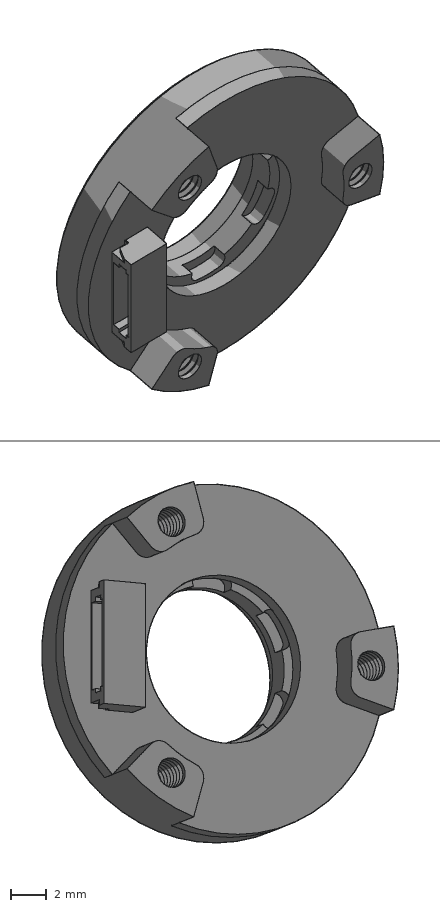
import cadquery as cq
import math


TOTAL_LENGTH = 6.4
FLANGE_FRONT = 1.5
BOARD_FRONT = 3.5
BOARD_THICKNESS = 1.0
BOARD_BACK = BOARD_FRONT + BOARD_THICKNESS

FLANGE_RADIUS = 10.0
FLANGE_CHAMFER = 0.2
BOSS_RADIUS = 6.3
BOSS_CHAMFER = 0.12
FACE_GROOVE_INNER_RADIUS = 6.8
FACE_GROOVE_OUTER_RADIUS = 7.1
FACE_GROOVE_DEPTH = 0.8

MOUTH_RADIUS = 5.0
MOUTH_CHAMFER = 0.1
MOUTH_DEPTH = FLANGE_FRONT
UNDERCUT_RADIUS = 5.1
UNDERCUT_WIDTH = 0.15
BORE_RADIUS = 4.5
POCKET_RADIUS = 5.6
POCKET_DEPTH = 0.5
POCKET_FLOOR = BOARD_FRONT - POCKET_DEPTH
NOTCH_COUNT = 6
NOTCH_DEPTH = 0.88
NOTCH_PITCH = 360.0 / NOTCH_COUNT
NOTCH_SPAN = NOTCH_PITCH / 2
NOTCH_RADIUS = 5.15
NOTCH_CORNER_RADIUS = 0.5

LUG_COUNT = 3
LUG_PITCH = 360.0 / LUG_COUNT
LUG_SPAN = 27.8
LUG_INNER_RADIUS = 7.1
LUG_CORNER_RADIUS = 0.8
HOLE_CIRCLE_RADIUS = 8.3
HOLE_MOUTH_RADIUS = 1.05
THREAD_PITCH = 0.4
THREAD_MINOR_RADIUS = 0.85
THREAD_MAJOR_RADIUS = 1.05

BOARD_BORE_RADIUS = 4.8

CONNECTOR_HEIGHT = 1.7
CONNECTOR_WIDTH = 7.08
CONNECTOR_FRONT_Y = -8.28
CONNECTOR_DEPTH = 2.6
SOCKET_DEPTH = 2.0
SOCKET_FLOOR = 0.15
SOCKET_HEIGHT = 1.28
SOCKET_WIDTH = 5.0
KEYWAY_FLOOR = 0.65
KEYWAY_HEIGHT = 0.62
KEYWAY_WIDTH = 5.48
FOOT_NOTCH_WIDTH = 0.32
FOOT_NOTCH_HEIGHT = 0.28
FOOT_NOTCH_DEPTH = 1.0
FOOT_SLOPE_HEIGHT = 1.1
FOOT_SLOPE_DEPTH = 0.35

TAB_THICKNESS = 0.08


def disc(radius, start, end):
    """Cylinder about the X axis between two axial positions."""
    return cq.Workplane("YZ").workplane(offset=start).circle(radius).extrude(end - start)


def polar(radius, angle):
    """Y and Z of a point; the angle in degrees is counted from +Y towards +Z."""
    return radius * math.cos(math.radians(angle)), radius * math.sin(math.radians(angle))


def ring_sector(inner, outer, span, start, end):
    """Piece of a ring centred on +Y with radial sides."""
    half = span / 2
    return (
        cq.Workplane("YZ")
        .workplane(offset=start)
        .moveTo(*polar(inner, -half))
        .lineTo(*polar(outer, -half))
        .threePointArc(polar(outer, 0), polar(outer, half))
        .lineTo(*polar(inner, half))
        .threePointArc(polar(inner, 0), polar(inner, -half))
        .close()
        .extrude(end - start)
    )


def turned(body, angle):
    """Body turned about the X axis, from +Y towards +Z."""
    return body.rotate((0, 0, 0), (1, 0, 0), angle)


def make_lug(start, end):
    """Lug on +Y between two axial positions, with rounded inner corners."""
    lug = ring_sector(LUG_INNER_RADIUS, FLANGE_RADIUS, LUG_SPAN, start, end)
    inner_limit = cq.selectors.BoxSelector(
        (start - 0.2, 0, -FLANGE_RADIUS), (end + 0.2, LUG_INNER_RADIUS + 0.2, FLANGE_RADIUS)
    )
    return lug.edges("|X").edges(inner_limit).fillet(LUG_CORNER_RADIUS)


def make_threaded_hole():
    """Cutter for one through hole on +Y: a plain core, ring grooves for the thread and a mouth."""
    mouth_depth = HOLE_MOUTH_RADIUS - THREAD_MINOR_RADIUS
    groove_start = FLANGE_FRONT + mouth_depth
    groove_count = math.floor((TOTAL_LENGTH - groove_start) / THREAD_PITCH)
    profile = (
        cq.Workplane("XY")
        .moveTo(FLANGE_FRONT, 0)
        .lineTo(FLANGE_FRONT, HOLE_MOUTH_RADIUS)
        .lineTo(groove_start, THREAD_MINOR_RADIUS)
    )
    for index in range(groove_count):
        crest = groove_start + index * THREAD_PITCH
        profile = profile.lineTo(crest + THREAD_PITCH / 2, THREAD_MAJOR_RADIUS)
        profile = profile.lineTo(crest + THREAD_PITCH, THREAD_MINOR_RADIUS)
    cutter = (
        profile.lineTo(TOTAL_LENGTH, THREAD_MINOR_RADIUS)
        .lineTo(TOTAL_LENGTH, 0)
        .close()
        .revolve(360, (0, 0, 0), (1, 0, 0))
    )
    return cutter.translate((0, HOLE_CIRCLE_RADIUS, 0))


def make_bore_notch():
    """Cutter for one notch on +Y at the back end of the bore, with rounded outer corners."""
    sector = ring_sector(BORE_RADIUS - 0.2, NOTCH_RADIUS, NOTCH_SPAN, POCKET_FLOOR - NOTCH_DEPTH, POCKET_FLOOR)
    outer_limit = cq.selectors.BoxSelector(
        (0, BORE_RADIUS, -FLANGE_RADIUS), (TOTAL_LENGTH, FLANGE_RADIUS, FLANGE_RADIUS)
    )
    return sector.edges("|X").edges(outer_limit).fillet(NOTCH_CORNER_RADIUS)


def make_housing():
    """Flange with a front boss, a stepped bore, three lugs and a threaded hole in each lug."""
    flange = disc(FLANGE_RADIUS, FLANGE_FRONT, BOARD_FRONT).faces("<X").chamfer(FLANGE_CHAMFER)
    boss = disc(BOSS_RADIUS, 0, FLANGE_FRONT).faces("<X or >X").chamfer(BOSS_CHAMFER)
    housing = flange.union(boss)
    for index in range(LUG_COUNT):
        housing = housing.union(turned(make_lug(BOARD_FRONT, TOTAL_LENGTH), index * LUG_PITCH))

    groove_floor = FLANGE_FRONT + FACE_GROOVE_DEPTH
    face_groove = disc(FACE_GROOVE_OUTER_RADIUS, FLANGE_FRONT, groove_floor).cut(
        disc(FACE_GROOVE_INNER_RADIUS, FLANGE_FRONT, groove_floor)
    )
    housing = housing.cut(face_groove)

    housing = housing.cut(disc(BORE_RADIUS, 0, BOARD_FRONT))
    housing = housing.cut(disc(MOUTH_RADIUS, 0, MOUTH_DEPTH))
    housing = housing.cut(disc(UNDERCUT_RADIUS, MOUTH_DEPTH - UNDERCUT_WIDTH, MOUTH_DEPTH))
    housing = housing.cut(disc(POCKET_RADIUS, POCKET_FLOOR, BOARD_FRONT))
    mouth_chamfer = cq.Workplane("XY").add(
        cq.Solid.makeCone(
            MOUTH_RADIUS + MOUTH_CHAMFER, MOUTH_RADIUS, MOUTH_CHAMFER, cq.Vector(), cq.Vector(1, 0, 0)
        )
    )
    housing = housing.cut(mouth_chamfer)
    for index in range(NOTCH_COUNT):
        housing = housing.cut(turned(make_bore_notch(), (index + 0.5) * NOTCH_PITCH))
    for index in range(LUG_COUNT):
        housing = housing.cut(turned(make_threaded_hole(), index * LUG_PITCH))
    return housing


def make_board():
    """Ring-shaped circuit board, cut out where the lugs pass through it."""
    board = disc(FLANGE_RADIUS, BOARD_FRONT, BOARD_BACK)
    board = board.cut(disc(BOARD_BORE_RADIUS, BOARD_FRONT, BOARD_BACK))
    for index in range(LUG_COUNT):
        board = board.cut(turned(make_lug(BOARD_FRONT, BOARD_BACK), index * LUG_PITCH))
    return board


def connector_block(floor, height, width, depth):
    """Block centred on Z that starts at the connector's front face, a given height above the board."""
    block = cq.Workplane("XY").box(height, depth, width, centered=(False, False, True))
    return block.translate((BOARD_BACK + floor, CONNECTOR_FRONT_Y, 0))


def foot_notch_centre(side):
    """Z of the middle of the foot notch at one end of the connector; side is +1 or -1."""
    return side * (CONNECTOR_WIDTH - FOOT_NOTCH_WIDTH) / 2


def make_foot_notch(side):
    """Cutter for the stepped notch at the foot of one end of the connector; side is +1 or -1."""
    notch = (
        cq.Workplane("XY")
        .moveTo(BOARD_BACK, CONNECTOR_FRONT_Y)
        .lineTo(BOARD_BACK + FOOT_SLOPE_HEIGHT, CONNECTOR_FRONT_Y)
        .lineTo(BOARD_BACK + FOOT_NOTCH_HEIGHT, CONNECTOR_FRONT_Y + FOOT_SLOPE_DEPTH)
        .lineTo(BOARD_BACK + FOOT_NOTCH_HEIGHT, CONNECTOR_FRONT_Y + FOOT_NOTCH_DEPTH)
        .lineTo(BOARD_BACK, CONNECTOR_FRONT_Y + FOOT_NOTCH_DEPTH)
        .close()
        .extrude(FOOT_NOTCH_WIDTH / 2, both=True)
    )
    return notch.translate((0, 0, foot_notch_centre(side)))


def make_connector():
    """Connector with a keyed socket in its -Y face and a notch at the foot of each end."""
    connector = connector_block(0, CONNECTOR_HEIGHT, CONNECTOR_WIDTH, CONNECTOR_DEPTH)
    connector = connector.cut(connector_block(SOCKET_FLOOR, SOCKET_HEIGHT, SOCKET_WIDTH, SOCKET_DEPTH))
    connector = connector.cut(connector_block(KEYWAY_FLOOR, KEYWAY_HEIGHT, KEYWAY_WIDTH, SOCKET_DEPTH))
    for side in (1, -1):
        connector = connector.cut(make_foot_notch(side))
    return connector


def make_solder_tab(side):
    """Thin tab standing on the board against the back of one foot notch; side is +1 or -1."""
    tab = cq.Workplane("XY").box(
        FOOT_NOTCH_HEIGHT, TAB_THICKNESS, FOOT_NOTCH_WIDTH, centered=(False, False, True)
    )
    tab_y = CONNECTOR_FRONT_Y + FOOT_NOTCH_DEPTH - TAB_THICKNESS
    return tab.translate((BOARD_BACK, tab_y, foot_notch_centre(side)))


housing = make_housing()
board = make_board()
connector = make_connector()
solder_tabs = [make_solder_tab(side).val() for side in (1, -1)]

result = cq.Compound.makeCompound([housing.val(), board.val(), connector.val(), *solder_tabs])